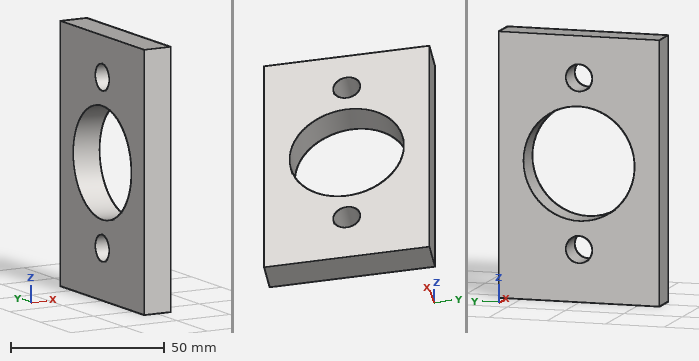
import cadquery as cq

thickness = 10.0
width = 55.0
height = 88.5

bore_diameter = 38.0
bore_to_top_edge = 42.5
bore_height = height / 2 - bore_to_top_edge

bolt_hole_diameter = 9.0
bolt_hole_spacing = 57.0


def through_hole(diameter, z):
    """Cylinder along X that passes through the plate at height z."""
    return (
        cq.Workplane("YZ")
        .center(0, z)
        .circle(diameter / 2)
        .extrude(thickness, both=True)
    )


plate = cq.Workplane("XY").box(thickness, width, height)
result = plate.cut(through_hole(bore_diameter, bore_height))
for side in (-1, 1):
    bolt_hole_height = bore_height + side * bolt_hole_spacing / 2
    result = result.cut(through_hole(bolt_hole_diameter, bolt_hole_height))